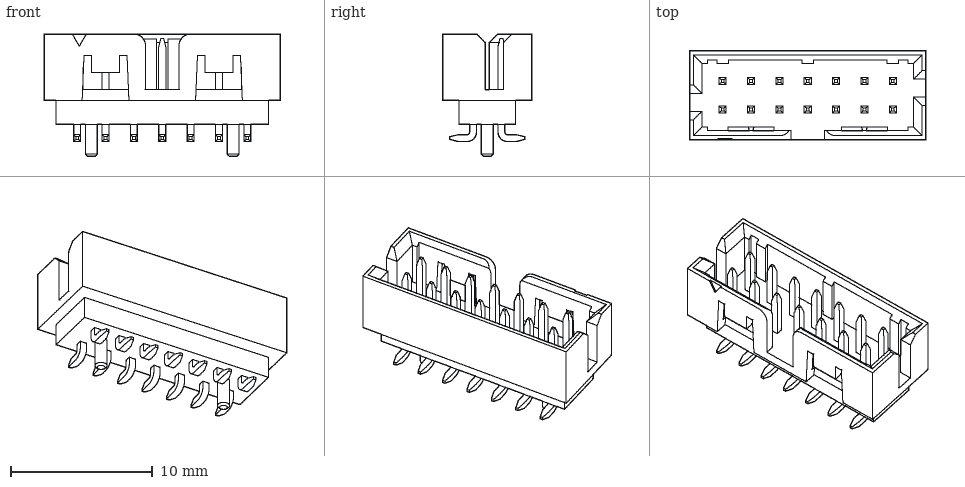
import cadquery as cq


base_length, base_width, base_height = 15.0, 4.0, 1.7
shroud_length, shroud_width, shroud_height = 16.65, 6.3, 4.66
shroud_top = base_height + shroud_height
floor_thickness = 0.75
floor_z = base_height + floor_thickness
cavity_depth = shroud_top - floor_z

end_wall = 0.87
side_wall = 0.9
recessed_side_wall = 0.65
lead_in = 0.6
recess_length = 14.12
rib_width = 0.8

end_slot_width = 1.27
end_slot_shift = 0.5
key_slot_width = 2.36
key_slot_radius = 0.8

window_x = 4.0
window_bottom_width = 3.3
window_top_width = 3.03
window_height = 3.16
tongue_width = 2.0
tongue_bottom = 1.95

mark_x = -5.85
mark_width = 0.98
mark_height = 0.85
mark_depth = 0.1

pitch = 2.0
columns = 7
pin_size = 0.5
pin_tip_size = 0.2
pin_tip_length = 0.6
pin_drop = 0.3
pin_top = shroud_top - pin_drop
lead_reach = 2.65
lead_bottom = -1.22
bend_inner_radius = 0.18

peg_x = 5.0
peg_diameter = 0.85
peg_length = 2.25
peg_chamfer = 0.15

first_pin_x = -pitch * (columns - 1) / 2
front_face_y = -shroud_width / 2
cavity_length = shroud_length - 2 * end_wall
cavity_width = shroud_width - 2 * side_wall


def box_between(x0, x1, y0, y1, z0, z1):
    """Axis-aligned box given by its limits."""
    return cq.Workplane("XY").box(x1 - x0, y1 - y0, z1 - z0, centered=False).translate((x0, y0, z0))


def block(length, width, height, bottom):
    """Box centred on the Z axis, standing on the height `bottom`."""
    return cq.Workplane("XY").workplane(offset=bottom).rect(length, width).extrude(height)


def cavity():
    """Main well with its chamfered mouth and the thinned side walls between ribs."""
    well = block(cavity_length, cavity_width, cavity_depth, floor_z)
    mouth = (
        cq.Workplane("XY")
        .workplane(offset=shroud_top - lead_in)
        .rect(cavity_length, cavity_width)
        .workplane(offset=lead_in)
        .rect(cavity_length + 2 * lead_in, cavity_width + 2 * lead_in)
        .loft()
    )
    recess_y = shroud_width / 2 - recessed_side_wall
    recess = block(recess_length, 2 * recess_y, cavity_depth, floor_z)
    for rib_x in (first_pin_x, 0, -first_pin_x):
        rib_start = rib_x - rib_width / 2
        recess = recess.cut(
            box_between(rib_start, rib_start + rib_width, cavity_width / 2, recess_y, floor_z, shroud_top)
        )
    return well.union(mouth).union(recess)


def end_slot(side):
    """Slot with a flared mouth through one end wall; side is -1 or +1 along X."""
    half = end_slot_width / 2
    flare_z = shroud_top - lead_in
    slot = (
        cq.Workplane("YZ")
        .polyline(
            [
                (-half, floor_z),
                (half, floor_z),
                (half, flare_z),
                (half + lead_in, shroud_top),
                (-half - lead_in, shroud_top),
                (-half, flare_z),
            ]
        )
        .close()
        .extrude(end_wall / 2, both=True)
    )
    return slot.translate((side * (shroud_length - end_wall) / 2, side * end_slot_shift, 0))


def key_slot():
    """Polarising slot through the front wall, rounded outwards at the top."""
    half = key_slot_width / 2
    arc_z = shroud_top - key_slot_radius
    outer = half + key_slot_radius
    return (
        cq.Workplane("XZ", origin=(0, front_face_y, 0))
        .moveTo(-half, floor_z)
        .lineTo(half, floor_z)
        .lineTo(half, arc_z)
        .radiusArc((outer, shroud_top), key_slot_radius)
        .lineTo(-outer, shroud_top)
        .radiusArc((-half, arc_z), key_slot_radius)
        .close()
        .extrude(-side_wall)
    )


def latch_window(x):
    """Tapered window up from the shroud underside, leaving a hanging tongue."""
    return (
        cq.Workplane("XZ", origin=(x, front_face_y, base_height))
        .polyline(
            [
                (-window_bottom_width / 2, 0),
                (window_bottom_width / 2, 0),
                (window_top_width / 2, window_height),
                (tongue_width / 2, window_height),
                (tongue_width / 2, tongue_bottom),
                (-tongue_width / 2, tongue_bottom),
                (-tongue_width / 2, window_height),
                (-window_top_width / 2, window_height),
            ]
        )
        .close()
        .extrude(-side_wall)
    )


def pin_one_mark():
    """Shallow engraved triangle on the front face, hanging from the rim."""
    return (
        cq.Workplane("XZ", origin=(mark_x, front_face_y, shroud_top))
        .polyline([(-mark_width / 2, 0), (mark_width / 2, 0), (0, -mark_height)])
        .close()
        .extrude(-mark_depth)
    )


def pin_tip(plane, origin):
    """Square taper growing from `origin` along the plane normal."""
    return (
        cq.Workplane(plane, origin=origin)
        .rect(pin_size, pin_size)
        .workplane(offset=pin_tip_length)
        .rect(pin_tip_size, pin_tip_size)
        .loft()
    )


def front_contact(x):
    """Vertical pin of the front row with its lead bent out towards -Y."""
    half = pin_size / 2
    inner_y = -pitch / 2 + half
    outer_y = -pitch / 2 - half
    lead_end_y = -lead_reach + pin_tip_length
    lead_top = lead_bottom + pin_size
    shank_top = pin_top - pin_tip_length
    outer_radius = bend_inner_radius + pin_size
    shank = (
        cq.Workplane("YZ", origin=(x, 0, 0))
        .moveTo(inner_y, shank_top)
        .lineTo(inner_y, lead_bottom + outer_radius)
        .radiusArc((inner_y - outer_radius, lead_bottom), outer_radius)
        .lineTo(lead_end_y, lead_bottom)
        .lineTo(lead_end_y, lead_top)
        .lineTo(outer_y - bend_inner_radius, lead_top)
        .radiusArc((outer_y, lead_top + bend_inner_radius), -bend_inner_radius)
        .lineTo(outer_y, shank_top)
        .close()
        .extrude(half, both=True)
    )
    upper_tip = pin_tip("XY", (x, -pitch / 2, shank_top))
    lead_tip = pin_tip("XZ", (x, lead_end_y, lead_bottom + half))
    return shank.union(upper_tip).union(lead_tip)


def peg(x):
    """Round locating peg below the base with a chamfered end."""
    return (
        cq.Workplane("XY", origin=(x, 0, 0))
        .circle(peg_diameter / 2)
        .extrude(-peg_length)
        .faces("<Z")
        .chamfer(peg_chamfer)
    )


housing = block(shroud_length, shroud_width, shroud_height, base_height)
housing = housing.cut(cavity()).cut(key_slot()).cut(pin_one_mark())
for side in (-1, 1):
    housing = housing.cut(end_slot(side)).cut(latch_window(side * window_x))
housing = housing.union(block(base_length, base_width, base_height, 0))

result = housing
for side in (-1, 1):
    result = result.union(peg(side * peg_x))
for column in range(columns):
    contact = front_contact(first_pin_x + column * pitch)
    result = result.union(contact).union(contact.mirror("XZ"))